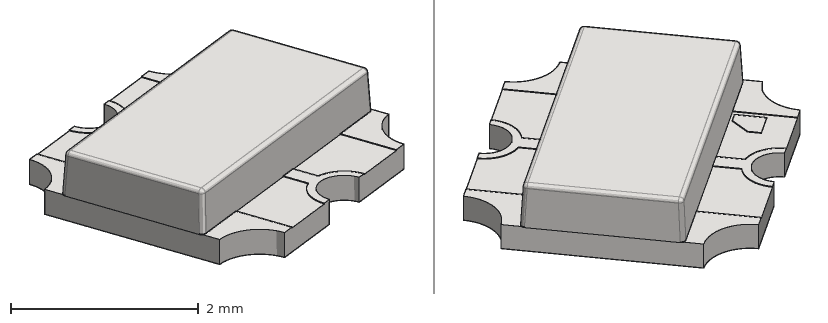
import cadquery as cq

board_length = 3.41
board_width = 3.2
board_thickness = 0.3
corner_notch_radius = 0.5
side_notch_radius = 0.3

recess_depth = 0.01
floor_z = board_thickness - recess_depth
pad_outer_y = 1.05
pad_inner_y = 0.1
pad_clearance_radius = 0.402

mark_left_x = -1.28
mark_right_x = -0.928
mark_top_y = -0.67
mark_bottom_y = -0.985
mark_cut_x = 0.2
mark_cut_y = 0.19

overall_height = 0.81
cover_width = 1.79
cover_length = board_length
cover_draft = 3.0
cover_corner_radius = 0.05
cover_top_fillet = 0.05
cover_height = overall_height - floor_z


def side_notch_cylinders(radius, bottom_z, height):
    """Cylinders centred on the middle of the two long sides of the board."""
    return (
        cq.Workplane("XY", origin=(0, 0, bottom_z))
        .pushPoints([(side * board_width / 2, 0) for side in (-1, 1)])
        .circle(radius)
        .extrude(height)
    )


def pad_recesses():
    """Four shallow rectangles beside the cover seat, kept clear of the side notches."""
    pad_size_x = (board_width - cover_width) / 2
    pad_size_y = pad_outer_y - pad_inner_y
    centre_x = (board_width - pad_size_x) / 2
    centre_y = pad_inner_y + pad_size_y / 2
    recesses = (
        cq.Workplane("XY", origin=(0, 0, floor_z))
        .rarray(2 * centre_x, 2 * centre_y, 2, 2)
        .rect(pad_size_x, pad_size_y)
        .extrude(recess_depth)
    )
    return recesses.cut(side_notch_cylinders(pad_clearance_radius, floor_z, recess_depth))


def orientation_mark():
    """Low rectangle with one corner cut off."""
    return (
        cq.Workplane("XY", origin=(0, 0, floor_z))
        .moveTo(mark_left_x, mark_bottom_y)
        .lineTo(mark_right_x, mark_bottom_y)
        .lineTo(mark_right_x, mark_top_y - mark_cut_y)
        .lineTo(mark_right_x - mark_cut_x, mark_top_y)
        .lineTo(mark_left_x, mark_top_y)
        .close()
        .extrude(recess_depth)
    )


def make_cover():
    """Drafted block on the seat floor with rounded upright and top edges."""
    block = (
        cq.Workplane("XY", origin=(0, 0, floor_z))
        .rect(cover_width, cover_length)
        .extrude(cover_height, taper=cover_draft)
    )
    upright_edges = block.edges("not(#Z)")
    return upright_edges.fillet(cover_corner_radius).faces(">Z").edges().fillet(cover_top_fillet)


def cover_seat(cover):
    """Shallow pocket with upright walls in the outline of the cover's underside."""
    return cover.faces("<Z").wires().toPending().extrude(recess_depth, combine=False)


def make_board(cover):
    """Flat board with round corner and side notches, sunken pads, a cover seat and a mark."""
    blank = cq.Workplane("XY").rect(board_width, board_length).extrude(board_thickness)
    corner_notches = (
        cq.Workplane("XY")
        .rarray(board_width, board_length, 2, 2)
        .circle(corner_notch_radius)
        .extrude(board_thickness)
    )
    side_notches = side_notch_cylinders(side_notch_radius, 0, board_thickness)
    return (
        blank.cut(corner_notches)
        .cut(side_notches)
        .cut(pad_recesses())
        .cut(cover_seat(cover))
        .union(orientation_mark())
    )


cover = make_cover()
board = make_board(cover)

result = cq.Compound.makeCompound([board.val(), cover.val()])